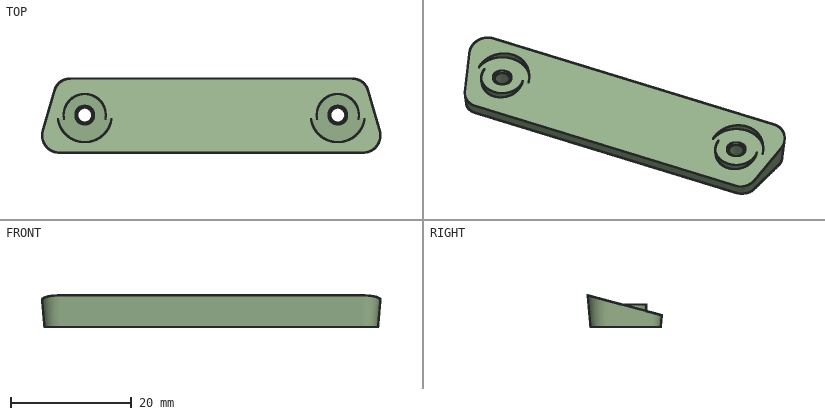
import cadquery as cq
import math

base_depth = 11.7
corner_radius = 2.5
front_corner_x = 25.2
side_angle = 15.0
draft_angle = 5.0
front_base_y = -5.8

peak_height = 5.28
top_slope = 15.0

screw_spacing = 42.0
seat_height = 3.77
boss_diameter = 7.0
recess_diameter = 9.0
hole_diameter = 2.5
lead_in_diameter = 3.1
lead_in_angle = 45.0
lead_in_depth = (lead_in_diameter - hole_diameter) / 2 / math.tan(math.radians(lead_in_angle))

front_corner_y = front_base_y + corner_radius
back_corner_y = front_base_y + base_depth - corner_radius
back_corner_x = front_corner_x - (back_corner_y - front_corner_y) * math.tan(math.radians(side_angle))
peak_y = front_base_y - peak_height * math.tan(math.radians(draft_angle))
screw_points = [(-screw_spacing / 2, 0), (screw_spacing / 2, 0)]


def drafted_block():
    """Rounded trapezoid whose walls flare outwards, still with a level top."""
    corner_centres = [
        (-front_corner_x, front_corner_y),
        (front_corner_x, front_corner_y),
        (back_corner_x, back_corner_y),
        (-back_corner_x, back_corner_y),
    ]
    outline = cq.Workplane("XY").polyline(corner_centres).close().offset2D(corner_radius)
    return outline.extrude(peak_height, taper=-draft_angle)


def space_above_slope():
    """Wedge that leaves a top face falling from the -Y edge towards +Y."""
    reach_y = 2 * base_depth
    half_width = 2 * front_corner_x
    drop = reach_y * math.tan(math.radians(top_slope))
    return (
        cq.Workplane("YZ")
        .moveTo(peak_y, peak_height)
        .lineTo(peak_y + reach_y, peak_height)
        .lineTo(peak_y + reach_y, peak_height - drop)
        .close()
        .extrude(half_width, both=True)
    )


def columns(diameter, bottom, top):
    """Upright cylinders at both screw places."""
    return (
        cq.Workplane("XY", origin=(0, 0, bottom))
        .pushPoints(screw_points)
        .circle(diameter / 2)
        .extrude(top - bottom)
    )


def lead_ins():
    """Conical countersinks at the top of both screw holes."""
    return (
        cq.Workplane("XY", origin=(0, 0, seat_height))
        .pushPoints(screw_points)
        .circle(lead_in_diameter / 2)
        .extrude(-lead_in_depth, taper=lead_in_angle)
    )


result = drafted_block().cut(space_above_slope())
result = result.cut(columns(recess_diameter, seat_height, peak_height))
result = result.union(columns(boss_diameter, 0, seat_height))
result = result.cut(columns(hole_diameter, 0, seat_height))
result = result.cut(lead_ins())